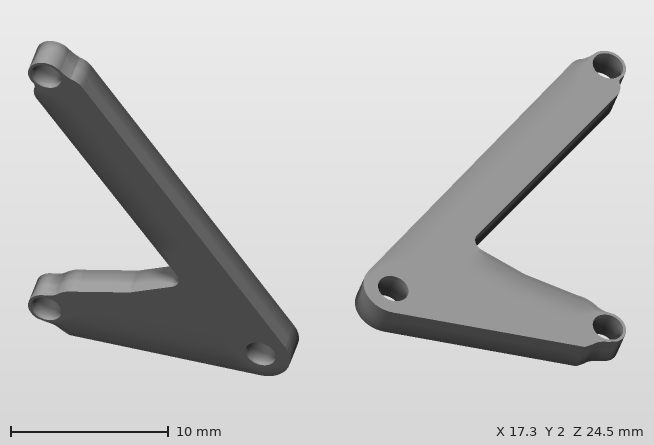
import cadquery as cq
import math

thickness = 2.0
hole_diameter = 2.0
pivot_radius = 1.95
eye_radius = 1.2

short_arm_eye = (-14.17, 0.0)
long_arm_eye = (-14.17, 21.35)
long_arm_angle = math.radians(56.1)
elbow_radius = 0.78
elbow_corner = (-5.02, 4.85)

inner_side_end = (-14.8, 19.15)
inner_neck_joint = (-14.95, 20.05)
outer_neck_joint = (-12.55, 21.57)
outer_side_length = 23.97

upper_bend = (-8.65, 3.11)
upper_side_end = (-12.15, 2.15)
upper_neck_joint = (-13.33, 1.65)
upper_neck_end = (-14.3, 1.2)
lower_neck_end = (-14.17, -eye_radius)
lower_neck_joint = (-13.14, -1.65)
lower_side_end = (-12.65, -pivot_radius)

long_eye_start = 38
long_eye_middle = 140
long_eye_end = 218
short_eye_middle = 180
short_eye_end = 240

neck_bulge = 0.1
outer_neck_bulge = 0.02


def along_outer_side(distance):
    """Point on the long arm's outer side, measured from its tangency with the pivot."""
    cosine = math.cos(long_arm_angle)
    sine = math.sin(long_arm_angle)
    return (
        pivot_radius * sine - distance * cosine,
        pivot_radius * cosine + distance * sine,
    )


def eye_rim_point(center, direction_degrees):
    """Point on an eye's rim in the given direction from its center."""
    direction = math.radians(direction_degrees)
    return (
        center[0] + eye_radius * math.cos(direction),
        center[1] + eye_radius * math.sin(direction),
    )


def crank_outline():
    """Closed outline, counterclockwise from the lower side of the short arm."""
    pivot_middle_angle = -long_arm_angle / 2
    pivot_middle = (
        pivot_radius * math.cos(pivot_middle_angle),
        pivot_radius * math.sin(pivot_middle_angle),
    )
    return (
        cq.Workplane("XZ")
        .moveTo(*lower_side_end)
        .lineTo(0, -pivot_radius)
        .threePointArc(pivot_middle, along_outer_side(0))
        .lineTo(*along_outer_side(outer_side_length))
        .sagittaArc(outer_neck_joint, -neck_bulge)
        .sagittaArc(eye_rim_point(long_arm_eye, long_eye_start), outer_neck_bulge)
        .threePointArc(
            eye_rim_point(long_arm_eye, long_eye_middle),
            eye_rim_point(long_arm_eye, long_eye_end),
        )
        .sagittaArc(inner_neck_joint, neck_bulge)
        .sagittaArc(inner_side_end, -neck_bulge)
        .lineTo(*elbow_corner)
        .lineTo(*upper_bend)
        .lineTo(*upper_side_end)
        .sagittaArc(upper_neck_joint, -neck_bulge)
        .sagittaArc(upper_neck_end, neck_bulge)
        .threePointArc(
            eye_rim_point(short_arm_eye, short_eye_middle),
            eye_rim_point(short_arm_eye, short_eye_end),
        )
        .lineTo(*lower_neck_end)
        .sagittaArc(lower_neck_joint, neck_bulge)
        .lineTo(*lower_side_end)
        .close()
    )


def round_elbow(plate):
    """Fillet the inside corner between the two arms."""
    elbow_x, elbow_z = elbow_corner
    nearest = cq.selectors.NearestToPointSelector((elbow_x, 0, elbow_z))
    return plate.edges("|Y").edges(nearest).fillet(elbow_radius)


def drill_holes(plate):
    """Cut the pivot hole and the two eye holes through the plate."""
    holes = (
        cq.Workplane("XZ")
        .pushPoints([(0, 0), short_arm_eye, long_arm_eye])
        .circle(hole_diameter / 2)
        .extrude(thickness / 2, both=True)
    )
    return plate.cut(holes)


plate = crank_outline().extrude(thickness / 2, both=True)
result = drill_holes(round_elbow(plate))